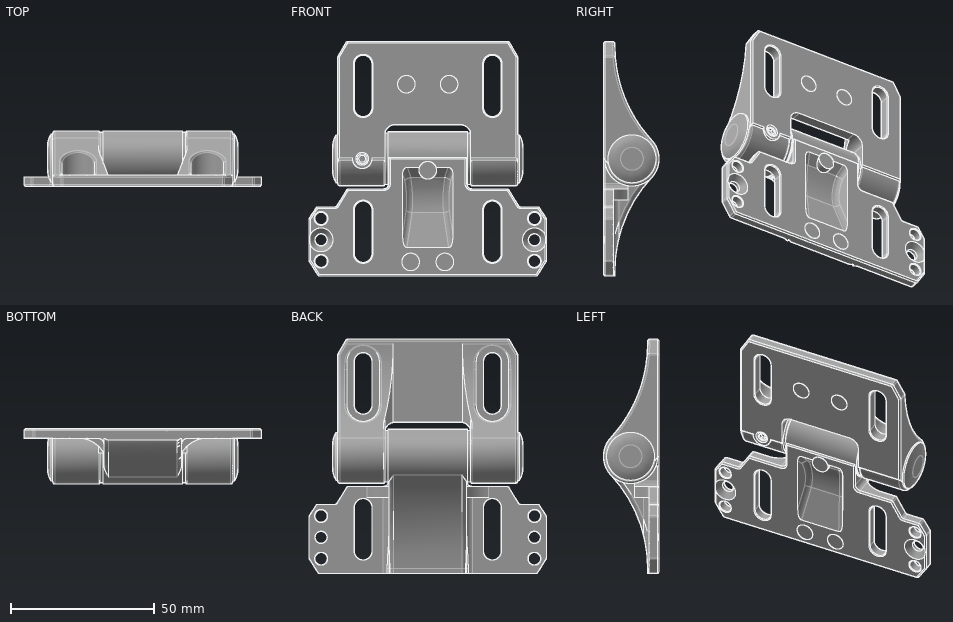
import cadquery as cq
import math

overall_width = 83.0
overall_depth = 19.5
overall_height = 82.0
half_height = overall_height / 2

plate_thickness = 4.1
back_curve_end_z = 39.2
upper_overlap = 0.3
knuckle_diameter = 19.0
knuckle_radius = knuckle_diameter / 2
axis_y = overall_depth - knuckle_radius
edge_chamfer = 0.6
selection_margin = 0.1
corner_radius = 0.8
back_edge_radius = 0.8

upper_half_width = 31.45
upper_corner_run = 3.1
upper_corner_rise = 5.3
notch_half_width = 15.0
notch_top = 11.9
notch_corner_radius = 3.6
recess_floor_half_width = 12.1
recess_wall_depth = 11.6
knuckle_inner_edge_radius = 0.5

cap_radius = 8.4
cap_flat_radius = 4.0
cap_rim_x = 32.0
cap_outer_x = 33.3
cap_mid_radius = 6.7
cap_mid_x = 32.9

screw_x = -22.9
screw_pad_radius = 3.4
screw_rim_radius = 2.2
screw_rim_chamfer = 0.5
screw_socket_size = 2.65
screw_socket_depth = 1.25

slot_x = 22.6
slot_z = 25.5
slot_width = 6.15
slot_spacing = 15.3
slot_chamfer = 0.3
slot_clearance_width = 11.3
slot_clearance_edge_radius = 0.8

lower_plate_thickness = 3.5
lower_half_width = overall_width / 2
shoulder_z = -10.45
shoulder_half_width = 28.1
neck_overlap = 0.5
tab_top_z = -16.8
tab_inner_half_width = 31.95
tab_corner_run = 2.65
tab_corner_rise = 4.15
foot_corner_run = 3.3
foot_corner_rise = 5.3
neck_half_width = 13.6
neck_corner_radius = 1.8
lower_knuckle_half_width = 13.95
collar_radius = 9.05
gusset_length = 7.55
gusset_rise = 5.15
gusset_mid = (2.3, 2.3)
gusset_height = 4.0
rib_edge_radius = 1.7
rib_base_radius = 2.0

tab_hole_x = 37.3
tab_hole_z = -28.3
tab_hole_spacing = 7.5
plain_hole_radius = 2.15
plain_hole_chamfer = 0.25
screw_hole_radius = 2.1
countersink_radius = 4.15

pocket_half_width = 8.8
pocket_draft = 24.0
pocket_reach = 6.6
pocket_lead = 1.7
pocket_floor_radius = 2.2
pocket_top_z = -3.0
pocket_arc_top = (2.8, -6.5)
pocket_arc_bottom = (4.1, -18.75)
pocket_arc_sag = 1.0
pocket_bottom_z = -31.05
gate_post_z = -4.0

mark_radius = 3.1
mark_depth = 0.1
upper_mark_x = 7.5
upper_mark_z = 26.1
lower_mark_x = 6.0
lower_mark_z = -36.0


def front_plane(y):
    """Plane facing -Y at depth y, with local X along X and local Y along Z."""
    return cq.Workplane("XZ", origin=(0, y, 0))


def mirrored(points):
    """Outline points of the left half, in the order that continues from the right half."""
    return [(-x, z) for x, z in reversed(points)]


def edges_within(body, x_range, y_range, z_range):
    """Edges of a body whose middle lies inside the given ranges."""
    low, high = zip(x_range, y_range, z_range)
    return body.edges(cq.selectors.BoxSelector(low, high))


def cylinder_y(x, z, radius, start, length):
    return front_plane(start).center(x, z).circle(radius).extrude(-length)


def cylinder_x(radius, half_length):
    return cq.Workplane("YZ", origin=(-half_length, axis_y, 0)).circle(radius).extrude(2 * half_length)


def cone_y(x, z, front_radius, depth):
    """45 degree countersink starting at the front face."""
    front_centre = cq.Vector(x, 0, z)
    backwards = cq.Vector(0, 1, 0)
    return cq.Workplane(cq.Solid.makeCone(front_radius, front_radius - depth, depth, front_centre, backwards))


def flared_profile(half_width, side, overlap):
    """Leaf cross-section: flat front, and a hollow back curve tangent to plate and knuckle.

    side is +1 for a leaf going up from the hinge axis and -1 for one going down.
    """
    offset = axis_y - plate_thickness
    back_radius = (offset**2 + back_curve_end_z**2 - knuckle_radius**2) / (2 * (knuckle_radius + offset))
    lean = math.atan2(back_curve_end_z, back_radius - offset)
    contact = (axis_y + knuckle_radius * math.cos(lean), side * knuckle_radius * math.sin(lean))
    back_mid = (
        plate_thickness + back_radius * (1 - math.cos(lean / 2)),
        side * (back_curve_end_z - back_radius * math.sin(lean / 2)),
    )
    knuckle_front = axis_y - math.sqrt(knuckle_radius**2 - overlap**2)
    return (
        cq.Workplane("YZ", origin=(-half_width, 0, 0))
        .moveTo(0, side * half_height)
        .lineTo(plate_thickness, side * half_height)
        .lineTo(plate_thickness, side * back_curve_end_z)
        .threePointArc(back_mid, contact)
        .threePointArc((axis_y, -side * knuckle_radius), (knuckle_front, -side * overlap))
        .lineTo(0, side * (edge_chamfer - overlap))
        .close()
        .extrude(2 * half_width)
    )


def slot_cutter(x, z, width, start, length):
    return front_plane(start).center(x, z).slot2D(slot_spacing + width, width, 90).extrude(-length)


def slot_with_chamfer(x, z):
    through = slot_cutter(x, z, slot_width, 0, overall_depth)
    mouth_width = slot_width + 2 * slot_chamfer
    mouth = front_plane(0).center(x, z).slot2D(slot_spacing + mouth_width, mouth_width, 90)
    return through.union(mouth.extrude(-slot_chamfer, taper=45))


def mark(x, z):
    return cylinder_y(x, z, mark_radius, 0, mark_depth)


def upper_outline_trim():
    """Block whose outline has the two cut top corners."""
    top_half_width = upper_half_width - upper_corner_run
    right_side = [
        (upper_half_width, -half_height),
        (upper_half_width, half_height - upper_corner_rise),
        (top_half_width, half_height),
    ]
    block = front_plane(0).polyline(right_side + mirrored(right_side)).close().extrude(-overall_depth)
    return block.edges("|Y and (not <Z)").fillet(corner_radius)


def hinge_notch():
    """Opening that clears the middle knuckle, rounded at its top corners."""
    opening = front_plane(0).rect(2 * notch_half_width, 2 * notch_top).extrude(-overall_depth)
    return opening.edges("|Y").edges(">Z").fillet(notch_corner_radius)


def back_recess():
    """Hollow between the two flared arms, with sloping side walls."""
    return (
        cq.Workplane("XY")
        .polyline(
            [
                (-recess_floor_half_width, plate_thickness),
                (recess_floor_half_width, plate_thickness),
                (notch_half_width, recess_wall_depth),
                (notch_half_width, overall_depth),
                (-notch_half_width, overall_depth),
                (-notch_half_width, recess_wall_depth),
            ]
        )
        .close()
        .extrude(half_height)
    )


def end_cap():
    """Domed cap on the +X end of the hinge axis."""
    cap_inner_x = upper_half_width - back_edge_radius
    return (
        cq.Workplane("XY", origin=(0, axis_y, 0))
        .moveTo(cap_inner_x, 0)
        .lineTo(cap_inner_x, cap_radius)
        .lineTo(cap_rim_x, cap_radius)
        .threePointArc((cap_mid_x, cap_mid_radius), (cap_outer_x, cap_flat_radius))
        .lineTo(cap_outer_x, 0)
        .close()
        .revolve(360, (0, 0, 0), (1, 0, 0))
    )


def outer_back_edges(leaf):
    """Edges where the back surface meets the sides, the cut corners and the top."""
    inner_x = upper_half_width - upper_corner_run - corner_radius
    behind_front = (plate_thickness - edge_chamfer, overall_depth)
    any_height = (-half_height, overall_height)
    left = edges_within(leaf, (-overall_width, -inner_x), behind_front, any_height)
    right = edges_within(leaf, (inner_x, overall_width), behind_front, any_height)
    top = leaf.edges(">Z").edges("|X").edges(">Y")
    return left.add(right).edges("not |Y").add(top)


def screw_pad():
    """Flat round pad that carries the front face down around the set screw."""
    return cylinder_y(screw_x, 0, screw_pad_radius, 0, axis_y)


def screw_recess():
    """Chamfered rim and hexagonal socket of the set screw."""
    rim = cone_y(screw_x, 0, screw_rim_radius, screw_rim_chamfer)
    socket = front_plane(0).center(screw_x, 0).polygon(6, screw_socket_size)
    socket = socket.extrude(-screw_rim_chamfer - screw_socket_depth)
    return rim.union(socket)


def inner_knuckle_edges(leaf):
    """Curved edges of the two knuckle faces that flank the notch."""
    behind_plate = (plate_thickness, overall_depth)
    any_height = (-half_height, half_height)
    low_x = notch_half_width - selection_margin
    high_x = notch_half_width + selection_margin
    left = edges_within(leaf, (-high_x, -low_x), behind_plate, any_height)
    right = edges_within(leaf, (low_x, high_x), behind_plate, any_height)
    return left.add(right).edges("%CIRCLE")


def slot_clearance_mouth(leaf, x):
    """Edges where the clearance around a slot breaks out through the back curve."""
    reach = slot_clearance_width / 2 + selection_margin
    behind_plate = (plate_thickness + selection_margin, overall_depth)
    return edges_within(leaf, (x - reach, x + reach), behind_plate, (slot_z / 2, half_height)).edges("not |Y")


def make_upper_leaf():
    leaf = flared_profile(upper_half_width, 1, upper_overlap).intersect(upper_outline_trim())
    leaf = outer_back_edges(leaf).fillet(back_edge_radius)
    leaf = leaf.faces("<Y").edges(">Z or (not |X)").chamfer(edge_chamfer)
    for x in (-slot_x, slot_x):
        clearance = slot_cutter(x, slot_z, slot_clearance_width, plate_thickness, overall_depth)
        leaf = leaf.cut(clearance)
        leaf = slot_clearance_mouth(leaf, x).fillet(slot_clearance_edge_radius)
        leaf = leaf.cut(slot_with_chamfer(x, slot_z))
    leaf = leaf.cut(back_recess()).cut(hinge_notch())
    leaf = inner_knuckle_edges(leaf).fillet(knuckle_inner_edge_radius)
    leaf = leaf.cut(cylinder_x(collar_radius, notch_half_width))
    leaf = leaf.union(screw_pad()).cut(screw_recess())
    for x in (-upper_mark_x, upper_mark_x):
        leaf = leaf.cut(mark(x, upper_mark_z))
    cap = end_cap()
    return leaf.union(cap).union(cap.mirror("YZ"))


def lower_plate():
    """Flat plate with stepped shoulders, side tabs and a narrow neck up to the hinge."""
    right_side = [
        (lower_half_width - foot_corner_run, -half_height),
        (lower_half_width, foot_corner_rise - half_height),
        (lower_half_width, tab_top_z - tab_corner_rise),
        (lower_half_width - tab_corner_run, tab_top_z),
        (tab_inner_half_width, tab_top_z),
        (shoulder_half_width, shoulder_z),
        (neck_half_width, shoulder_z),
        (neck_half_width, neck_overlap),
    ]
    plate = front_plane(0).polyline(right_side + mirrored(right_side)).close().extrude(-lower_plate_thickness)
    any_depth = (0, lower_plate_thickness)
    around_shoulder = (shoulder_z - selection_margin, shoulder_z + selection_margin)
    neck_range = (-neck_half_width - selection_margin, neck_half_width + selection_margin)
    plate = edges_within(plate, neck_range, any_depth, around_shoulder).edges("|Y").fillet(neck_corner_radius)
    past_neck_x = (shoulder_half_width + neck_half_width) / 2
    up_to_shoulder = (-overall_height, shoulder_z + selection_margin)
    left = edges_within(plate, (-overall_width, -past_neck_x), any_depth, up_to_shoulder)
    right = edges_within(plate, (past_neck_x, overall_width), any_depth, up_to_shoulder)
    plate = left.add(right).edges("|Y").fillet(corner_radius)
    return plate.faces("<Y").edges().chamfer(edge_chamfer)


def rib():
    """Flared arm that carries the middle knuckle, set behind the chamfered front edges."""
    arm = flared_profile(neck_half_width, -1, neck_overlap)
    behind_plate = (plate_thickness, axis_y + knuckle_radius / 2)
    below_knuckle = (-half_height, -knuckle_radius)
    back_curve = edges_within(arm, (-overall_width, overall_width), behind_plate, below_knuckle)
    arm = back_curve.edges("%CIRCLE").fillet(rib_edge_radius)
    behind_chamfer = cq.Workplane().box(overall_width, overall_depth, 2 * overall_height)
    return arm.intersect(behind_chamfer.translate((0, overall_depth / 2 + edge_chamfer, 0)))


def gusset():
    """Hollow-sided web between the right shoulder and the neck, behind the plate."""
    return (
        cq.Workplane("XY", origin=(neck_half_width, lower_plate_thickness, shoulder_z))
        .lineTo(gusset_length, 0)
        .threePointArc(gusset_mid, (0, gusset_rise))
        .close()
        .extrude(-gusset_height)
    )


def neck_corner_web():
    """Carries the rounded corner of the right shoulder and neck back to the depth of the web."""
    return (
        front_plane(lower_plate_thickness)
        .moveTo(neck_half_width, shoulder_z)
        .lineTo(neck_half_width + neck_corner_radius, shoulder_z)
        .radiusArc((neck_half_width, shoulder_z + neck_corner_radius), neck_corner_radius)
        .close()
        .extrude(-gusset_rise)
    )


def rib_base_fillet():
    """Hollow fillet along the right foot of the rib, running out with the rib's back curve."""
    strip = (
        cq.Workplane("XY", origin=(neck_half_width, lower_plate_thickness, shoulder_z))
        .lineTo(rib_base_radius, 0)
        .radiusArc((0, rib_base_radius), rib_base_radius)
        .close()
        .extrude(-overall_height)
    )
    return strip.intersect(flared_profile(lower_half_width, -1, neck_overlap))


def cored_pocket():
    """Pocket in the front face, with drafted side walls and a curved floor."""
    spread = pocket_lead * math.tan(math.radians(pocket_draft))
    top_slope = pocket_arc_top[0] / (pocket_top_z - pocket_arc_top[1])
    bottom_slope = pocket_arc_bottom[0] / (pocket_arc_bottom[1] - pocket_bottom_z)
    arc_mid = (
        (pocket_arc_top[0] + pocket_arc_bottom[0]) / 2 + pocket_arc_sag,
        (pocket_arc_top[1] + pocket_arc_bottom[1]) / 2,
    )
    lengthwise = (
        cq.Workplane("YZ", origin=(-overall_width / 2, 0, 0))
        .moveTo(-pocket_lead, pocket_top_z + pocket_lead / top_slope)
        .lineTo(*pocket_arc_top)
        .threePointArc(arc_mid, pocket_arc_bottom)
        .lineTo(-pocket_lead, pocket_bottom_z - pocket_lead / bottom_slope)
        .close()
        .extrude(overall_width)
    )
    half_front = pocket_half_width + spread
    full_depth = pocket_reach + pocket_lead
    half_back = half_front - full_depth * math.tan(math.radians(pocket_draft))
    crosswise = (
        cq.Workplane("XY", origin=(0, 0, -overall_height))
        .polyline(
            [
                (-half_front, -pocket_lead),
                (half_front, -pocket_lead),
                (half_back, pocket_reach),
                (-half_back, pocket_reach),
            ]
        )
        .close()
        .extrude(2 * overall_height)
    )
    pocket = lengthwise.intersect(crosswise)
    walls = pocket.edges("not |X").edges("not <Y")
    pocket = walls.fillet(pocket_floor_radius)
    post = cylinder_y(0, gate_post_z, mark_radius, -pocket_lead, pocket_reach + pocket_lead)
    return pocket.cut(post)


def plain_tab_hole(x, z):
    hole = cylinder_y(x, z, plain_hole_radius, 0, lower_plate_thickness)
    return hole.union(cone_y(x, z, plain_hole_radius + plain_hole_chamfer, plain_hole_chamfer))


def countersunk_tab_hole(x, z):
    hole = cylinder_y(x, z, screw_hole_radius, 0, lower_plate_thickness)
    return hole.union(cone_y(x, z, countersink_radius, countersink_radius - screw_hole_radius))


def make_lower_leaf():
    web = gusset().union(neck_corner_web()).union(rib_base_fillet())
    leaf = lower_plate().union(rib())
    leaf = leaf.union(web).union(web.mirror("YZ"))
    leaf = leaf.union(cylinder_x(knuckle_radius, lower_knuckle_half_width))
    leaf = leaf.union(cylinder_x(collar_radius, notch_half_width))
    leaf = leaf.cut(cored_pocket()).cut(mark(0, gate_post_z))
    for side in (-1, 1):
        leaf = leaf.cut(slot_with_chamfer(side * slot_x, -slot_z))
        leaf = leaf.cut(countersunk_tab_hole(side * tab_hole_x, tab_hole_z))
        for step in (-tab_hole_spacing, tab_hole_spacing):
            leaf = leaf.cut(plain_tab_hole(side * tab_hole_x, tab_hole_z + step))
        leaf = leaf.cut(mark(side * lower_mark_x, lower_mark_z))
    return leaf


upper_leaf = make_upper_leaf()
lower_leaf = make_lower_leaf()
result = cq.Compound.makeCompound([upper_leaf.val(), lower_leaf.val()])